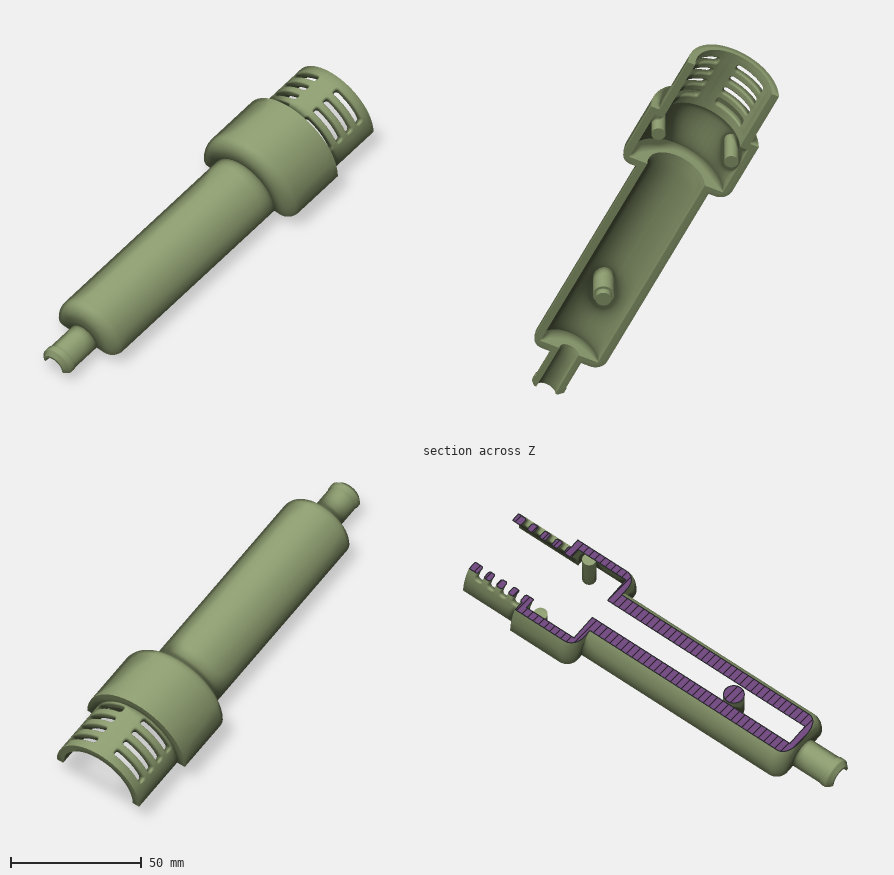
import cadquery as cq
import math


REAR_END = 83.1
SHOULDER_Y = 57.9
BODY_FRONT_Y = 29.3
BARREL_FRONT_Y = -65.5
LIP_START_Y = -78.1
LIP_CREST_Y = -79.1
NOZZLE_END_Y = -83.1

GRILLE_RADIUS = 38.5 / 2
BODY_RADIUS = 45.7 / 2
BARREL_RADIUS = 30.5 / 2
NOZZLE_RADIUS = 6.5
LIP_RADIUS = 6.8
NOZZLE_TIP_RADIUS = 5.0
NOSE_ROUND = 5.0
LIP_ROUND = 0.76

WALL = 3.0
NOZZLE_BORE_RADIUS = 8.1 / 2
GRILLE_BORE_RADIUS = GRILLE_RADIUS - WALL
BODY_BORE_RADIUS = BODY_RADIUS - WALL
BARREL_BORE_RADIUS = BARREL_RADIUS - WALL

SLOT_ROWS = 4
SLOT_FIRST_Y = 77.6
SLOT_PITCH = 5.8
SLOT_WIDTH = 2.8
SLOT_CORNER_RADIUS = 2.0 / 2
SLOT_EDGE_ROUND = 0.76
SLOT_UPPER_ANGLE = 13.5
SLOT_LOWER_ANGLE = 62.3
CUT_MARGIN = 1.7

OVERALL_HEIGHT = 25.6
PIN_LENGTH = OVERALL_HEIGHT - BODY_RADIUS
SIDE_PIN_DIAMETER = 5.5
SIDE_PIN_X = 15.5
SIDE_PIN_Y = 48.9
CENTRE_PIN_DIAMETER = 6.2
CENTRE_BOSS_DIAMETER = 8.1
CENTRE_PIN_Y = -32.1

Y_AXIS = ((0, 0, 0), (0, 1, 0))
DIAGONAL = math.sqrt(0.5)


def stepped_bore(steps):
    """Solid of revolution from (radius, rear y, front y) steps, ordered from rear to front."""
    points = [(0, steps[0][1])]
    for radius, rear_y, front_y in steps:
        points += [(radius, rear_y), (radius, front_y)]
    points.append((0, steps[-1][2]))
    return cq.Workplane("XY").polyline(points).close().revolve(360, *Y_AXIS)


def round_nose(profile, radius, front_y):
    """Continue a profile forward along a cylinder and turn inward round its front edge."""
    inset = NOSE_ROUND * (1 - DIAGONAL)
    return (
        profile.lineTo(radius, front_y + NOSE_ROUND)
        .threePointArc((radius - inset, front_y + inset), (radius - NOSE_ROUND, front_y))
    )


def handle_envelope():
    """Outer shape of body, barrel and nozzle, without the grille tube."""
    eighth = math.radians(45)
    cone_edge_y = NOZZLE_END_Y + LIP_RADIUS - NOZZLE_TIP_RADIUS
    round_start_y = cone_edge_y + LIP_ROUND * math.tan(eighth / 2)
    round_centre_radius = LIP_RADIUS - LIP_ROUND

    def lip_round_point(angle):
        return (
            round_centre_radius + LIP_ROUND * math.cos(angle),
            round_start_y - LIP_ROUND * math.sin(angle),
        )

    profile = cq.Workplane("XY").moveTo(0, SHOULDER_Y).lineTo(BODY_RADIUS, SHOULDER_Y)
    profile = round_nose(profile, BODY_RADIUS, BODY_FRONT_Y).lineTo(BARREL_RADIUS, BODY_FRONT_Y)
    profile = round_nose(profile, BARREL_RADIUS, BARREL_FRONT_Y).lineTo(NOZZLE_RADIUS, BARREL_FRONT_Y)
    profile = (
        profile.lineTo(NOZZLE_RADIUS, LIP_START_Y)
        .lineTo(LIP_RADIUS, LIP_CREST_Y)
        .lineTo(LIP_RADIUS, round_start_y)
        .threePointArc(lip_round_point(eighth / 2), lip_round_point(eighth))
        .lineTo(NOZZLE_TIP_RADIUS, NOZZLE_END_Y)
        .lineTo(0, NOZZLE_END_Y)
    )
    return profile.close().revolve(360, *Y_AXIS)


def slot_cutter(row_y):
    """Slot with rounded corners, wrapped round the tube on the +X side of the crown."""
    inner_z = GRILLE_BORE_RADIUS - CUT_MARGIN
    outer_z = GRILLE_RADIUS + CUT_MARGIN
    rear_y = row_y + SLOT_WIDTH / 2
    front_y = row_y - SLOT_WIDTH / 2
    sector = (
        cq.Workplane("YZ")
        .polyline([(front_y, inner_z), (rear_y, inner_z), (rear_y, outer_z), (front_y, outer_z)])
        .close()
        .revolve(SLOT_LOWER_ANGLE - SLOT_UPPER_ANGLE, (0, 0), (1, 0))
    )
    rounded = sector.edges("%LINE and (not |Y)").fillet(SLOT_CORNER_RADIUS)
    return rounded.rotate(*Y_AXIS, SLOT_UPPER_ANGLE)


def grille_tube():
    """Slotted tube whose slot edges are rounded on the outer and inner skins."""
    front_y = SHOULDER_Y - WALL
    tube = stepped_bore([(GRILLE_RADIUS, REAR_END, front_y)])
    tube = tube.cut(stepped_bore([(GRILLE_BORE_RADIUS, REAR_END, front_y)]))
    for row in range(SLOT_ROWS):
        cutter = slot_cutter(SLOT_FIRST_Y - row * SLOT_PITCH)
        tube = tube.cut(cutter).cut(cutter.mirror("YZ"))
    slot_edges = [
        edge
        for face in tube.faces("%CYLINDER").vals()
        for loop in face.innerWires()
        for edge in loop.Edges()
    ]
    return tube.newObject(slot_edges).fillet(SLOT_EDGE_ROUND)


def post(x, y, diameter, bottom_z, roof_radius):
    """Round post from inside the shell roof down to a given height."""
    embed_radius = roof_radius + WALL / 2
    reach = abs(x) + diameter / 2
    top_z = math.sqrt(embed_radius**2 - reach**2)
    return (
        cq.Workplane("XY", origin=(x, y, bottom_z))
        .circle(diameter / 2)
        .extrude(top_z - bottom_z)
    )


cavity = stepped_bore([
    (GRILLE_BORE_RADIUS, REAR_END, SHOULDER_Y - WALL),
    (BODY_BORE_RADIUS, SHOULDER_Y - WALL, BODY_FRONT_Y + WALL),
    (BARREL_BORE_RADIUS, BODY_FRONT_Y + WALL, BARREL_FRONT_Y + WALL),
    (NOZZLE_BORE_RADIUS, BARREL_FRONT_Y + WALL, NOZZLE_END_Y),
])
lower_half = cq.Workplane("XY").box(
    2 * BODY_RADIUS, REAR_END - NOZZLE_END_Y, BODY_RADIUS, centered=(True, True, False)
).translate((0, 0, -BODY_RADIUS))

result = handle_envelope().union(grille_tube()).cut(cavity).cut(lower_half)
for diameter, bottom_z in ((CENTRE_PIN_DIAMETER, -PIN_LENGTH), (CENTRE_BOSS_DIAMETER, 0)):
    result = result.union(post(0, CENTRE_PIN_Y, diameter, bottom_z, BARREL_BORE_RADIUS))
for side in (-1, 1):
    result = result.union(
        post(side * SIDE_PIN_X, SIDE_PIN_Y, SIDE_PIN_DIAMETER, -PIN_LENGTH, BODY_BORE_RADIUS)
    )